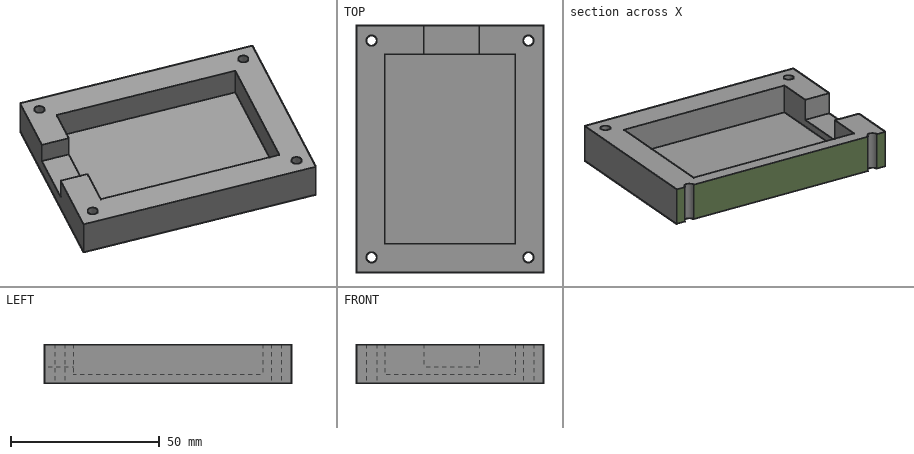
import cadquery as cq

width = 62.86
length = 82.94
height = 13.0

wall = 9.6
pocket_width = width - 2 * wall
pocket_length = length - 2 * wall
floor_thickness = 3.0

notch_width = 18.6
notch_center_x = 0.5
notch_depth = 7.5

hole_diameter = 3.4
hole_inset = 5.1


def box_from_top(size_x, size_y, depth, center_x, center_y):
    """Box whose top face is flush with the top of the block."""
    return (
        cq.Workplane("XY")
        .box(size_x, size_y, depth, centered=(True, True, False))
        .translate((center_x, center_y, height - depth))
    )


def make_block():
    return cq.Workplane("XY").box(width, length, height, centered=(True, True, False))


def make_pocket():
    return box_from_top(pocket_width, pocket_length, height - floor_thickness, 0, 0)


def make_notch():
    return box_from_top(notch_width, wall, notch_depth, notch_center_x, (length - wall) / 2)


def make_holes():
    return (
        cq.Workplane("XY")
        .rect(width - 2 * hole_inset, length - 2 * hole_inset, forConstruction=True)
        .vertices()
        .circle(hole_diameter / 2)
        .extrude(height)
    )


result = make_block().cut(make_pocket()).cut(make_notch()).cut(make_holes())